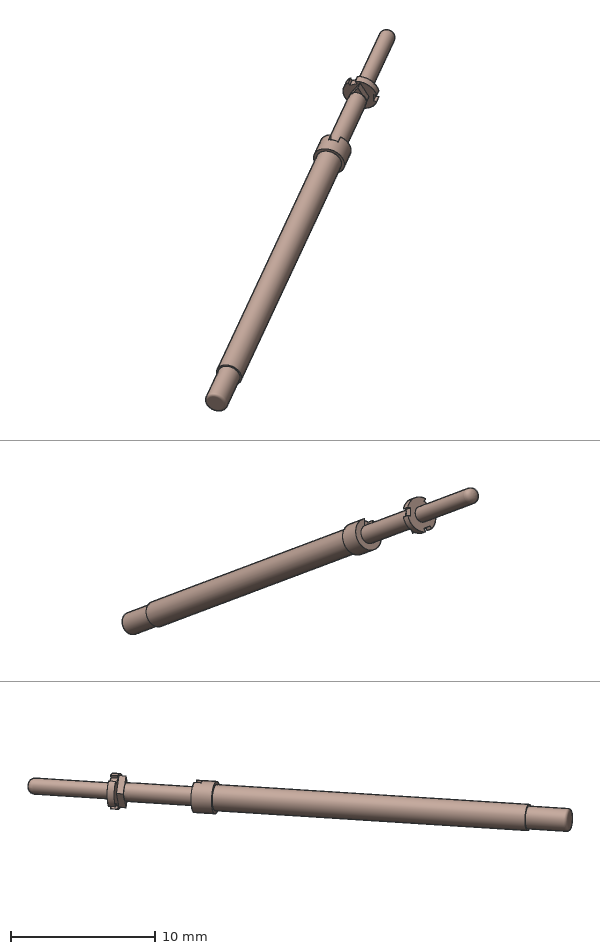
import cadquery as cq
import math

TOTAL_LENGTH = 39.0
BARREL_START = 3.0
COLLAR_START = 25.5
COLLAR_END = 27.0
NECK_START = 31.5
HUB_START = 31.98
FLANGE_START = 32.5
FLANGE_END = 33.0

TAIL_DIAMETER = 1.6
BARREL_DIAMETER = 1.85
COLLAR_DIAMETER = 2.25
SHAFT_DIAMETER = 1.33
NECK_END_DIAMETER = 1.3
FLANGE_DIAMETER = 2.5
PIN_DIAMETER = 1.15

TAIL_FILLET = 0.2
TIP_FILLET = 0.45

COLLAR_NOTCH_WIDTH = 0.7
COLLAR_NOTCH_LENGTH = 0.5

FLANGE_NOTCH_COUNT = 3
FLANGE_NOTCH_WIDTH = 0.6
FLANGE_NOTCH_FLOOR = 0.98

HUB_HALF_HEIGHT = 1.15
HUB_SIDE_ANGLE = 30.0
HUB_HALF_WIDTH = HUB_HALF_HEIGHT * math.tan(math.radians(HUB_SIDE_ANGLE))


def section_at(y):
    """Sketch plane across the axis at y, extruding towards the tip; its local axes are -X and Z."""
    return cq.Workplane(cq.Plane(origin=(0, y, 0), xDir=(-1, 0, 0), normal=(0, 1, 0)))


def rod(start, end, diameter):
    """Round bar along Y."""
    return section_at(start).circle(diameter / 2).extrude(end - start)


def tail():
    return rod(0, BARREL_START, TAIL_DIAMETER).faces("<Y").edges().fillet(TAIL_FILLET)


def collar():
    """Ring whose notch reaches down to the shaft that passes through it."""
    notch = cq.Workplane("XY").box(
        COLLAR_NOTCH_WIDTH, COLLAR_NOTCH_LENGTH, COLLAR_DIAMETER / 2, centered=(True, False, False)
    )
    notch = notch.translate((0, COLLAR_END - COLLAR_NOTCH_LENGTH, 0))
    return rod(COLLAR_START, COLLAR_END, COLLAR_DIAMETER).cut(notch)


def neck():
    """Slight cone from the shaft down to the hub."""
    return (
        section_at(NECK_START)
        .circle(SHAFT_DIAMETER / 2)
        .workplane(offset=HUB_START - NECK_START)
        .circle(NECK_END_DIAMETER / 2)
        .loft()
    )


def hub():
    corners = [
        (0, HUB_HALF_HEIGHT),
        (HUB_HALF_WIDTH, 0),
        (0, -HUB_HALF_HEIGHT),
        (-HUB_HALF_WIDTH, 0),
    ]
    return section_at(HUB_START).polyline(corners).close().extrude(FLANGE_START - HUB_START)


def flange():
    disc = rod(FLANGE_START, FLANGE_END, FLANGE_DIAMETER)
    notch = cq.Workplane("XY").box(
        FLANGE_DIAMETER / 2, FLANGE_END - FLANGE_START, FLANGE_NOTCH_WIDTH, centered=(False, False, True)
    )
    notch = notch.translate((FLANGE_NOTCH_FLOOR, FLANGE_START, 0))
    for i in range(FLANGE_NOTCH_COUNT):
        disc = disc.cut(notch.rotate((0, 0, 0), (0, 1, 0), i * 360 / FLANGE_NOTCH_COUNT))
    return disc


def pin():
    return rod(FLANGE_END, TOTAL_LENGTH, PIN_DIAMETER).faces(">Y").edges().fillet(TIP_FILLET)


result = (
    tail()
    .union(rod(BARREL_START, COLLAR_START, BARREL_DIAMETER))
    .union(collar())
    .union(rod(COLLAR_START, NECK_START, SHAFT_DIAMETER))
    .union(neck())
    .union(hub())
    .union(flange())
    .union(pin())
)